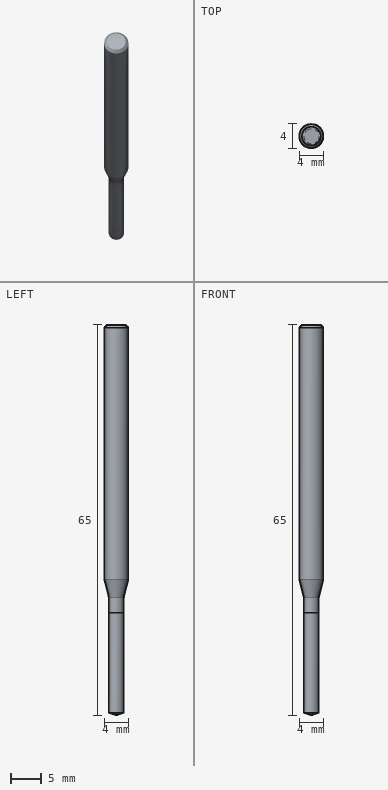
import cadquery as cq

total_length = 65.0
shank_diameter = 4.0
cutter_diameter = 2.55

cutter_top = 17.1
neck_top = 19.7
taper_top = 22.6
point_height = 0.45

end_chamfer = 0.45

shank_radius = shank_diameter / 2
cutter_radius = cutter_diameter / 2


def make_shank():
    """Chamfered shank that tapers down to a short neck of cutter diameter."""
    return (
        cq.Workplane("XZ")
        .moveTo(0, cutter_top)
        .lineTo(cutter_radius, cutter_top)
        .lineTo(cutter_radius, neck_top)
        .lineTo(shank_radius, taper_top)
        .lineTo(shank_radius, total_length - end_chamfer)
        .lineTo(shank_radius - end_chamfer, total_length)
        .lineTo(0, total_length)
        .close()
        .revolve(360, (0, 0, 0), (0, 1, 0))
    )


def make_cutter():
    """Cylindrical cutter with a shallow conical point, butted against the neck."""
    return (
        cq.Workplane("XZ")
        .lineTo(cutter_radius, point_height)
        .lineTo(cutter_radius, cutter_top)
        .lineTo(0, cutter_top)
        .close()
        .revolve(360, (0, 0, 0), (0, 1, 0))
    )


shank = make_shank()
cutter = make_cutter()

result = cq.Compound.makeCompound([shank.val(), cutter.val()])